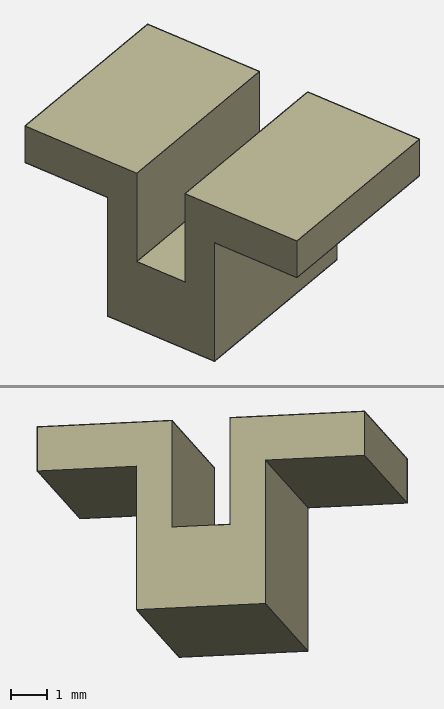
import cadquery as cq

width = 9.1
length = 5.75
height = 5.25

flange_thickness = 1.24
stem_width = 3.585
slot_width = 1.61
slot_depth = 2.985


def bar(bar_width, bar_height, top):
    """Full-length bar centred on X and Y, hanging down from the height top."""
    return (
        cq.Workplane("XY")
        .box(bar_width, length, bar_height, centered=(True, True, False))
        .translate((0, 0, top - bar_height))
    )


stem = bar(stem_width, height, height)
flange = bar(width, flange_thickness, height)
slot = bar(slot_width, slot_depth, height)

result = stem.union(flange).cut(slot)